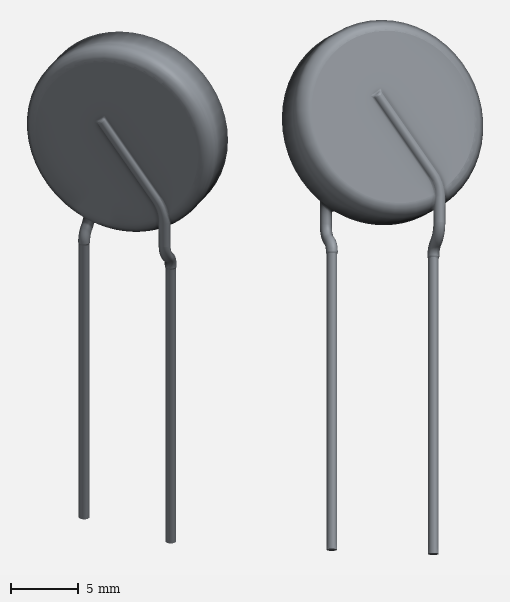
import cadquery as cq
import math

body_diameter = 15.0
body_thickness = 4.2
rim_radius = 1.0
overall_width = 4.7
overall_height = 40

lead_diameter = 0.8
coat_diameter = 0.9
lead_x = body_diameter / 4
coat_y = overall_width / 2 - coat_diameter / 2
lead_y = 0.7
lead_bottom_z = body_diameter / 2 - overall_height

radial_overshoot = 2.1
corner_z = -4.85
corner_radius = 2.8
crank_start_z = -7.7
crank_drop = 2.25
upper_crank_radius = 1.55
coat_end_length = 0.05
taper_length = 0.1
blend_radius = 0.15
tip_radius = 0.2


def make_body():
    back = cq.Workplane("XZ", origin=(0, body_thickness / 2, 0))
    disc = back.circle(body_diameter / 2).extrude(body_thickness)
    return disc.edges("%CIRCLE").fillet(rim_radius)


def make_face_run():
    """Coated wire from past the disc centre, around the corner, down to the crank."""
    corner_distance = math.hypot(lead_x, corner_z)
    out_x = lead_x / corner_distance
    out_z = corner_z / corner_distance
    turn = math.atan2(lead_x, -corner_z)
    setback = corner_radius * math.tan(turn / 2)
    arc_start = (lead_x - setback * out_x, corner_z - setback * out_z)
    arc_end = (lead_x, corner_z - setback)
    path = (
        cq.Workplane("XZ", origin=(0, -coat_y, 0))
        .moveTo(-radial_overshoot * out_x, -radial_overshoot * out_z)
        .lineTo(*arc_start)
        .tangentArcPoint(arc_end, relative=False)
        .lineTo(lead_x, crank_start_z)
    )
    start_plane = cq.Plane(
        origin=(-radial_overshoot * out_x, -coat_y, -radial_overshoot * out_z),
        xDir=(0, 1, 0),
        normal=(out_x, 0, out_z),
    )
    return cq.Workplane(start_plane).circle(coat_diameter / 2).sweep(path)


crank_shift = coat_y - lead_y
crank_angle = 2 * math.atan(crank_shift / crank_drop)
lower_crank_radius = crank_drop / math.sin(crank_angle) - upper_crank_radius
upper_crank_shift = upper_crank_radius * (1 - math.cos(crank_angle))
upper_crank_drop = upper_crank_radius * math.sin(crank_angle)
crank_end_z = crank_start_z - crank_drop
taper_top_z = crank_end_z - coat_end_length
coat_end_z = taper_top_z - taper_length


def make_crank():
    """Coated wire from the end of the drop to the start of the coat taper."""
    path = (
        cq.Workplane("YZ", origin=(lead_x, 0, 0))
        .moveTo(-coat_y, crank_start_z)
        .radiusArc((-coat_y + upper_crank_shift, crank_start_z - upper_crank_drop), -upper_crank_radius)
        .radiusArc((-lead_y, crank_end_z), lower_crank_radius)
        .lineTo(-lead_y, taper_top_z)
    )
    start = cq.Workplane("XY", origin=(lead_x, -coat_y, crank_start_z))
    return start.circle(coat_diameter / 2).sweep(path)


def make_bare_lead():
    """Bare wire with the short taper that ends the coating."""
    profile = (
        cq.Workplane("XZ", origin=(lead_x, -lead_y, 0))
        .moveTo(0, lead_bottom_z)
        .lineTo(lead_diameter / 2, lead_bottom_z)
        .lineTo(lead_diameter / 2, coat_end_z)
        .lineTo(coat_diameter / 2, taper_top_z)
        .lineTo(0, taper_top_z)
        .close()
    )
    return profile.revolve(360, (0, 0, 0), (0, 1, 0))


def half_turn(shape):
    return shape.rotate((0, 0, 0), (0, 0, 1), 180)


front_run = make_face_run()
result = make_body().union(front_run).union(half_turn(front_run))

result = result.edges("%LINE and (not |Y) and (not |Z)").fillet(blend_radius)

tip_zone = cq.selectors.BoxSelector(
    (-radial_overshoot, -overall_width, lead_diameter),
    (radial_overshoot, overall_width, radial_overshoot),
)
result = result.edges("%CIRCLE").edges(tip_zone).fillet(tip_radius)

lower_lead = make_crank().union(make_bare_lead())
result = result.union(lower_lead).union(half_turn(lower_lead))